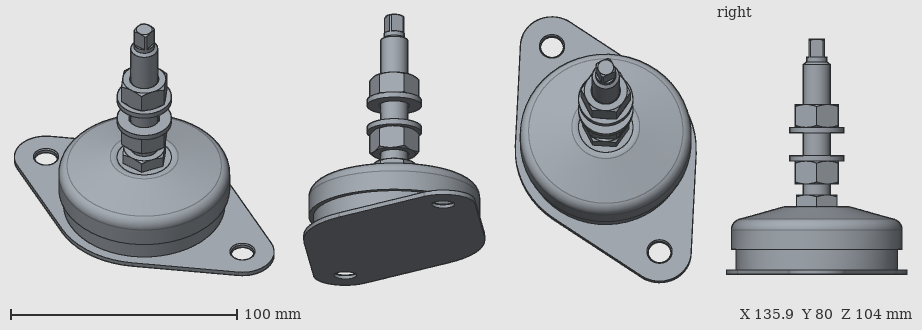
import cadquery as cq
import math

PLATE_LENGTH = 135.9
PLATE_WIDTH = 80.0
PLATE_THICKNESS = 2.0
END_RADIUS = 14.0
BOLT_HOLE_DIAMETER = 10.0
BOLT_HOLE_RIM_DIAMETER = 11.1
COUNTERSINK_ANGLE = 90

BODY_DIAMETER = 71.5
CAP_DIAMETER = 75.5
CAP_BOTTOM = 11.0
SHOULDER_START = 19.6
SHOULDER_RADIUS = 5.0
CONE_TOP = 29.8
CONE_TOP_DIAMETER = 30.0
RECESS_FLOOR = 29.5
RECESS_DIAMETER = 24.0

FOOT_FLATS = 18.0
FOOT_TOP = 35.0
STUD_DIAMETER = 12.0
STUD_CHAMFER_HEIGHT = 1.1
STUD_TOP = 93.9
NECK_DIAMETER = 9.0
NECK_TOP = 96.0
TIP_FLATS = 7.0
TIP_TOP = 104.0
TIP_CHAMFER_HEIGHT = 0.5

NUT_FLATS = 19.0
NUT_HEIGHT = 10.0
NUT_COUNTERSINK_DIAMETER = 12.9
LOWER_NUT_BOTTOM = 40.0
WASHER_DIAMETER = 24.0
WASHER_BORE = 13.5
WASHER_THICKNESS = 2.5
WASHER_GAP = 10.0

HEX_CHAMFER_SLOPE = math.tan(math.radians(30))
CORNERS_PER_FLATS = 2 / math.sqrt(3)

lower_washer_bottom = LOWER_NUT_BOTTOM + NUT_HEIGHT
upper_washer_bottom = lower_washer_bottom + WASHER_THICKNESS + WASHER_GAP
upper_nut_bottom = upper_washer_bottom + WASHER_THICKNESS


def cylinder(diameter, bottom, top):
    return cq.Workplane("XY").workplane(offset=bottom).circle(diameter / 2).extrude(top - bottom)


def revolved(points):
    """Turn an outline of (radius, height) points about the Z axis."""
    return cq.Workplane("XZ").polyline(points).close().revolve(360, (0, 0, 0), (0, 1, 0))


def tapered_rod(diameter, end_diameter, bottom, top, taper_height):
    """Cylinder whose top edge is cut back to a smaller end diameter."""
    return revolved([
        (0, bottom),
        (diameter / 2, bottom),
        (diameter / 2, top - taper_height),
        (end_diameter / 2, top),
        (0, top),
    ])


def hexagon(flats, bottom, height, chamfer_bottom):
    """Hexagonal prism with corners on the X axis, its end corners trimmed by cones."""
    corner_radius = flats * CORNERS_PER_FLATS / 2
    flat_radius = flats / 2
    drop = (corner_radius - flat_radius) * HEX_CHAMFER_SLOPE
    top = bottom + height
    prism = (
        cq.Workplane("XY").workplane(offset=bottom)
        .polygon(6, 2 * corner_radius).extrude(height)
    )
    if chamfer_bottom:
        lower_edge = [(flat_radius, bottom), (corner_radius, bottom + drop)]
    else:
        lower_edge = [(corner_radius, bottom)]
    upper_edge = [(corner_radius, top - drop), (flat_radius, top)]
    return prism.intersect(revolved([(0, bottom), *lower_edge, *upper_edge, (0, top)]))


def make_plate():
    middle_radius = PLATE_WIDTH / 2
    end_center = PLATE_LENGTH / 2 - END_RADIUS
    normal_cos = (middle_radius - END_RADIUS) / end_center
    normal_sin = math.sqrt(1 - normal_cos**2)
    middle_x = middle_radius * normal_cos
    middle_y = middle_radius * normal_sin
    end_x = end_center + END_RADIUS * normal_cos
    end_y = END_RADIUS * normal_sin
    return (
        cq.Workplane("XY")
        .moveTo(-middle_x, middle_y)
        .threePointArc((0, middle_radius), (middle_x, middle_y))
        .lineTo(end_x, end_y)
        .threePointArc((PLATE_LENGTH / 2, 0), (end_x, -end_y))
        .lineTo(middle_x, -middle_y)
        .threePointArc((0, -middle_radius), (-middle_x, -middle_y))
        .lineTo(-end_x, -end_y)
        .threePointArc((-PLATE_LENGTH / 2, 0), (-end_x, end_y))
        .close()
        .extrude(PLATE_THICKNESS)
        .faces(">Z").workplane(origin=(0, 0, PLATE_THICKNESS))
        .pushPoints([(-end_center, 0), (end_center, 0)])
        .cskHole(BOLT_HOLE_DIAMETER, BOLT_HOLE_RIM_DIAMETER, COUNTERSINK_ANGLE)
    )


def make_cap():
    """Cylinder, rounded shoulder and cone, with a rounded lip falling to a shallow central recess."""
    cap_radius = CAP_DIAMETER / 2
    cone_top_radius = CONE_TOP_DIAMETER / 2
    arc_center = cap_radius - SHOULDER_RADIUS
    run = arc_center - cone_top_radius
    rise = CONE_TOP - SHOULDER_START
    tangent_angle = math.atan2(rise, -run) - math.acos(SHOULDER_RADIUS / math.hypot(run, rise))
    half_angle = tangent_angle / 2

    def shoulder_point(angle):
        return (
            arc_center + SHOULDER_RADIUS * math.cos(angle),
            SHOULDER_START + SHOULDER_RADIUS * math.sin(angle),
        )

    return (
        cq.Workplane("XZ")
        .moveTo(0, CAP_BOTTOM)
        .lineTo(cap_radius, CAP_BOTTOM)
        .lineTo(cap_radius, SHOULDER_START)
        .threePointArc(shoulder_point(half_angle), shoulder_point(tangent_angle))
        .lineTo(cone_top_radius, CONE_TOP)
        .tangentArcPoint((RECESS_DIAMETER / 2, RECESS_FLOOR), relative=False)
        .lineTo(0, RECESS_FLOOR)
        .close()
        .revolve(360, (0, 0, 0), (0, 1, 0))
    )


def make_stud():
    foot = hexagon(FOOT_FLATS, RECESS_FLOOR, FOOT_TOP - RECESS_FLOOR, chamfer_bottom=False)
    shank = tapered_rod(STUD_DIAMETER, NECK_DIAMETER, FOOT_TOP, STUD_TOP, STUD_CHAMFER_HEIGHT)
    neck = cylinder(NECK_DIAMETER, STUD_TOP, NECK_TOP)
    tip_height = TIP_TOP - NECK_TOP
    square = cq.Workplane("XY").workplane(offset=NECK_TOP).rect(TIP_FLATS, TIP_FLATS).extrude(tip_height)
    rounding = tapered_rod(NECK_DIAMETER, TIP_FLATS, NECK_TOP, TIP_TOP, TIP_CHAMFER_HEIGHT)
    return foot.union(shank).union(neck).union(square.intersect(rounding))


def make_mount():
    body = cylinder(BODY_DIAMETER, PLATE_THICKNESS, CAP_BOTTOM)
    return make_plate().union(body).union(make_cap()).union(make_stud())


def make_nut(bottom):
    """Hexagonal nut whose bore fits the stud and is countersunk at both ends."""
    top = bottom + NUT_HEIGHT
    bore_radius = STUD_DIAMETER / 2
    mouth_radius = NUT_COUNTERSINK_DIAMETER / 2
    depth = mouth_radius - bore_radius
    bore = revolved([
        (0, bottom),
        (mouth_radius, bottom),
        (bore_radius, bottom + depth),
        (bore_radius, top - depth),
        (mouth_radius, top),
        (0, top),
    ])
    return hexagon(NUT_FLATS, bottom, NUT_HEIGHT, chamfer_bottom=True).cut(bore)


def make_washer(bottom):
    top = bottom + WASHER_THICKNESS
    return cylinder(WASHER_DIAMETER, bottom, top).cut(cylinder(WASHER_BORE, bottom, top))


mount = make_mount()
nuts = [make_nut(bottom).val() for bottom in (LOWER_NUT_BOTTOM, upper_nut_bottom)]
washers = [make_washer(bottom).val() for bottom in (lower_washer_bottom, upper_washer_bottom)]

result = cq.Compound.makeCompound([mount.val(), *nuts, *washers])